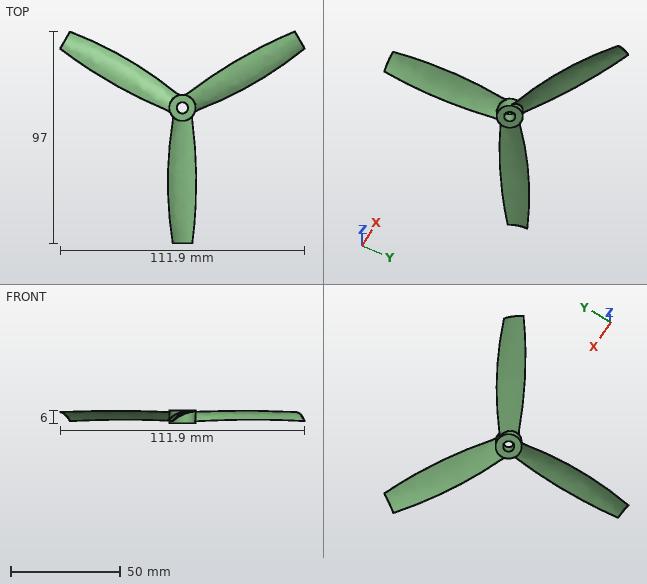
import cadquery as cq

HUB_DIAMETER = 12.0
BORE_DIAMETER = 5.0
HUB_HEIGHT = 6.0

BLADE_COUNT = 3
ROOT_RADIUS = 4.0
HUB_RADIUS = HUB_DIAMETER / 2
TIP_RADIUS = 62.0
WIDEST_RADIUS = (HUB_RADIUS + TIP_RADIUS) / 2

END_SECTION = ((-4.5, -5.0), (-0.7, -1.8), (-0.6, -2.4), (4.6, -0.8))
WIDE_SECTION = ((-6.7, -4.4), (-0.9, -0.9), (-0.7, -1.6), (6.4, -0.3))


def section_wire(section, radius):
    """Thin crescent between two arcs, placed across the blade at a radius."""
    low, upper, lower, high = [cq.Vector(x, -radius, z) for x, z in section]
    upper_arc = cq.Edge.makeThreePointArc(low, upper, high)
    lower_arc = cq.Edge.makeThreePointArc(high, lower, low)
    return cq.Wire.assembleEdges([upper_arc, lower_arc])


def loft_sections(stations, ruled):
    """Solid through a list of (section, radius) stations."""
    wires = [section_wire(section, radius) for section, radius in stations]
    return cq.Workplane(obj=cq.Solid.makeLoft(wires, ruled))


def make_blade():
    """Straight root inside the hub, then a smooth bulge out to the tip."""
    root = loft_sections([(END_SECTION, ROOT_RADIUS), (END_SECTION, HUB_RADIUS)], True)
    outer = loft_sections(
        [(END_SECTION, HUB_RADIUS), (WIDE_SECTION, WIDEST_RADIUS), (END_SECTION, TIP_RADIUS)],
        False,
    )
    return root.union(outer)


def make_hub():
    """Plain round hub with a through bore."""
    rings = cq.Workplane("XY").circle(HUB_RADIUS).circle(BORE_DIAMETER / 2)
    return rings.extrude(-HUB_HEIGHT)


result = make_hub()
blade = make_blade()
for index in range(BLADE_COUNT):
    angle = index * 360 / BLADE_COUNT
    result = result.union(blade.rotate((0, 0, 0), (0, 0, 1), angle))